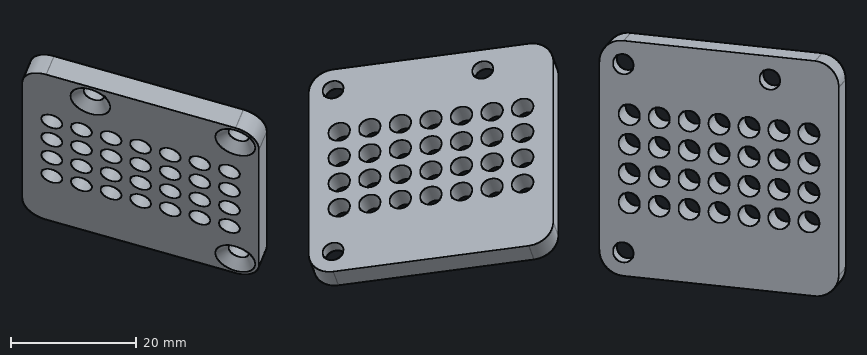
import cadquery as cq

side = 40.0
thickness = 3.85
corner_radius = 4.0

grid_columns = 7
grid_rows = 4
grid_pitch = 5.0
grid_hole_diameter = 3.5

screw_diameter = 3.4
sink_diameter = 6.7
sink_angle = 90.0
screw_offset = side / 2 - corner_radius
left_screw_x = -8.5
screw_centers = [
    (left_screw_x, screw_offset),
    (screw_offset, screw_offset),
    (screw_offset, -screw_offset),
]


def front_face(body):
    """Workplane on the front face, with local axes along X and Z."""
    return body.faces("<Y").workplane(centerOption="CenterOfBoundBox")


plate = cq.Workplane("XY").box(side, thickness, side)
plate = plate.edges("|Y").fillet(corner_radius)

plate = (
    front_face(plate)
    .rarray(grid_pitch, grid_pitch, grid_columns, grid_rows)
    .hole(grid_hole_diameter)
)

result = (
    front_face(plate)
    .pushPoints(screw_centers)
    .cskHole(screw_diameter, sink_diameter, sink_angle)
)